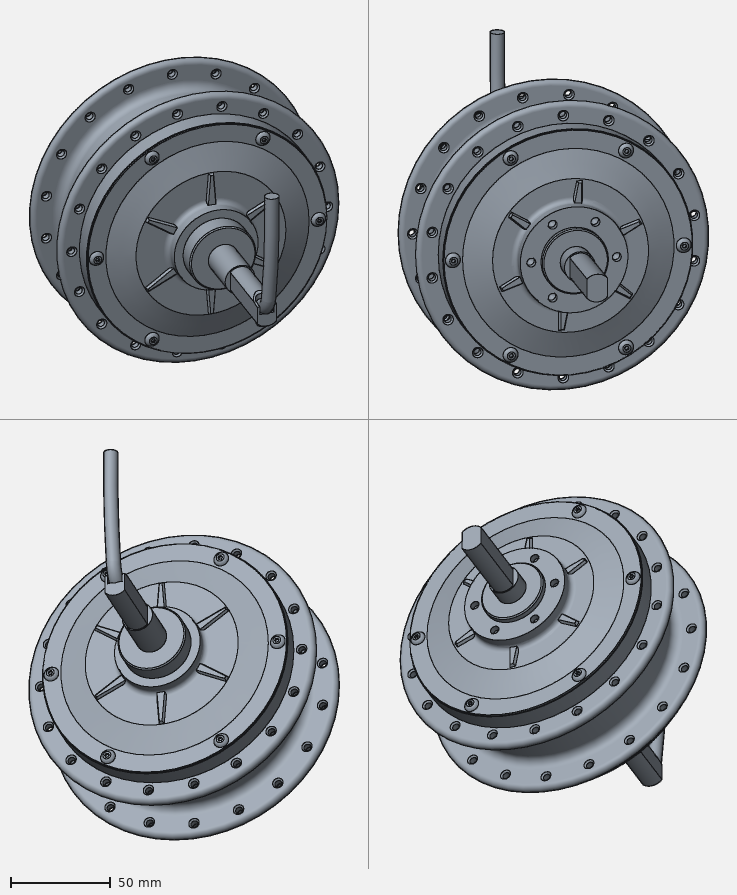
import cadquery as cq
import math


barrel_radius = 59.0
barrel_half_length = 12.0
flange_diameter = 150.5
flange_radius = flange_diameter / 2
flange_center = 19.5
flange_half_width = 2.7
rim_radius = 64.3
rim_face = 33.3
lip_radius = 63.9
lip_width = 1.1
cone_outer_radius = 54.4
cone_inner_radius = 40.0
cover_face = 38.3

hub_fillet = 2.7
left_hub_radius = 27.6
left_hub_end = 46.2
left_collar_radius = 17.0
left_collar_end = 49.5
right_hub_radius = 22.5
right_hub_end = 45.7
right_collar_radius = 17.7
right_collar_end = 55.7
collar_chamfer = 0.7

axle_left_end = -97.5
axle_right_end = 118.2
left_journal_end = -59.0
right_journal_end = 79.7
journal_radius = 8.0
axle_radius = 7.2
axle_half_flat = 5.2

overall_length = 226.5
cable_radius = 3.6
cable_start = 104.2
bend_start = 108.7
bend_radius = 12.0
bend_angle = math.radians(79)
cable_top = 69.8
slot_start = bend_start
slot_half_width = 3.8
relief_start = 106.7
relief_middle = 111.9
relief_middle_height = 5.5
relief_end_height = 4.3

spoke_hole_count = 18
spoke_circle_radius = 68.5
spoke_hole_radius = 1.8
spoke_countersink = 1.0
left_spoke_angle = 90.0
right_spoke_angle = left_spoke_angle + 180.0 / spoke_hole_count

screw_count = 6
screw_circle_radius = 59.3
screw_head_radius = 3.8
screw_head_height = 1.8
screw_seat_depth = 1.0
screw_top_radius = 2.0
screw_dome_radius = 2.7
socket_radius = 1.1
socket_depth = 1.1

hub_hole_count = 6
hub_hole_circle_radius = 22.0
hub_hole_radius = 2.3
hub_hole_depth = 3.5
drill_tip_depth = 1.4

rib_count = 6
rib_height = 1.5
rib_draft = 25
left_rib_tip_radius = 38.7
right_rib_tip_radius = 39.9
left_rib_straight_side = 6.1
left_rib_tip_side = 3.2
left_rib_root_side = 0.5
right_rib_root_half = 3.0
right_rib_tip_half = 1.4


def around_axle(count, radius, first_angle=0.0):
    """(y, z) of evenly spaced places on a circle about the axle."""
    places = []
    for index in range(count):
        turn = math.radians(first_angle + index * 360.0 / count)
        places.append((radius * math.cos(turn), radius * math.sin(turn)))
    return places


def rod(x_start, x_end, radius, y=0.0, z=0.0):
    """Cylinder parallel to X between two X positions."""
    return cq.Workplane("YZ", origin=(x_start, y, z)).circle(radius).extrude(x_end - x_start)


def hub_shell():
    """Barrel, rounded flanges, rims and conical covers, turned about X."""
    flange_inner = flange_center - flange_half_width
    flange_outer = flange_center + flange_half_width
    fillet = flange_inner - barrel_half_length
    edge_start = flange_radius - flange_half_width
    side = (
        cq.Workplane("XY")
        .moveTo(barrel_half_length, 0)
        .lineTo(barrel_half_length, barrel_radius)
        .radiusArc((flange_inner, barrel_radius + fillet), -fillet)
        .lineTo(flange_inner, edge_start)
        .radiusArc((flange_center, flange_radius), flange_half_width)
        .radiusArc((flange_outer, edge_start), flange_half_width)
        .lineTo(flange_outer, rim_radius)
        .lineTo(rim_face - lip_width, rim_radius)
        .lineTo(rim_face - lip_width, lip_radius)
        .lineTo(rim_face, lip_radius)
        .lineTo(rim_face, cone_outer_radius)
        .lineTo(cover_face, cone_inner_radius)
        .lineTo(cover_face, 0)
        .close()
        .revolve(360, (0, 0, 0), (1, 0, 0))
    )
    barrel = rod(-barrel_half_length, barrel_half_length, barrel_radius)
    return barrel.union(side).union(side.mirror("YZ"))


def cover_hub(side, hub_radius, hub_end, collar_radius, collar_end):
    """Hub with a root fillet and a chamfered collar; side is -1 or +1 along X."""
    hub = (
        cq.Workplane("XY")
        .lineTo(0, hub_radius + hub_fillet)
        .lineTo(side * cover_face, hub_radius + hub_fillet)
        .radiusArc((side * (cover_face + hub_fillet), hub_radius), -side * hub_fillet)
        .lineTo(side * hub_end, hub_radius)
        .lineTo(side * hub_end, 0)
        .close()
        .revolve(360, (0, 0, 0), (1, 0, 0))
    )
    collar = rod(side * hub_end, side * collar_end, collar_radius)
    collar = collar.faces(">X" if side > 0 else "<X").chamfer(collar_chamfer)
    return hub.union(collar)


def axle():
    """Stepped axle with two flats on each end."""
    journals = rod(left_journal_end, right_journal_end, journal_radius)
    flat_core = rod(axle_left_end, axle_right_end, axle_radius)
    flat_box = cq.Workplane("XY").box(
        2 * overall_length, 2 * axle_half_flat, 2 * axle_radius
    )
    return journals.union(flat_core.intersect(flat_box))


def rib(side, outline):
    """Drafted rib from a (y, z) outline pointing along +Z, standing on a cover."""
    sketch = cq.Workplane("YZ", origin=(side * cover_face, 0, 0)).polyline(outline).close()
    return sketch.extrude(side * rib_height, taper=rib_draft)


def ribs():
    """Skewed ribs on the -X cover and straight radial ribs on the +X cover."""
    left_outline = [
        (-left_rib_straight_side, left_hub_radius - hub_fillet),
        (-left_rib_straight_side, left_rib_tip_radius),
        (-left_rib_tip_side, left_rib_tip_radius),
        (-left_rib_root_side, left_hub_radius - hub_fillet),
    ]
    right_outline = [
        (-right_rib_root_half, right_hub_radius - hub_fillet),
        (-right_rib_tip_half, right_rib_tip_radius),
        (right_rib_tip_half, right_rib_tip_radius),
        (right_rib_root_half, right_hub_radius - hub_fillet),
    ]
    bodies = []
    for side, outline in ((-1, left_outline), (1, right_outline)):
        single = rib(side, outline)
        for index in range(rib_count):
            bodies.append(single.rotate((0, 0, 0), (1, 0, 0), index * 360.0 / rib_count))
    return bodies


def screw_head(side, y, z):
    """Rounded screw head with a hexagon socket, on a rim face."""
    top = side * (rim_face + screw_head_height)
    head = (
        cq.Workplane("XY", origin=(0, y, z))
        .moveTo(side * (rim_face - screw_seat_depth), 0)
        .lineTo(side * (rim_face - screw_seat_depth), screw_head_radius)
        .lineTo(side * rim_face, screw_head_radius)
        .radiusArc((top, screw_top_radius), side * screw_dome_radius)
        .lineTo(top, 0)
        .close()
        .revolve(360, (0, 0, 0), (1, 0, 0))
    )
    socket = (
        cq.Workplane("YZ", origin=(top, y, z))
        .polygon(6, 2 * socket_radius)
        .extrude(-side * socket_depth)
    )
    return head.cut(socket)


def spoke_hole(side, y, z):
    """Hole through one flange, countersunk on both faces."""
    inner = side * (flange_center - flange_half_width)
    outer = side * (flange_center + flange_half_width)
    rim = spoke_hole_radius + spoke_countersink
    sink = side * spoke_countersink
    return (
        cq.Workplane("XY", origin=(0, y, z))
        .moveTo(inner, 0)
        .lineTo(inner, rim)
        .lineTo(inner + sink, spoke_hole_radius)
        .lineTo(outer - sink, spoke_hole_radius)
        .lineTo(outer, rim)
        .lineTo(outer, 0)
        .close()
        .revolve(360, (0, 0, 0), (1, 0, 0))
    )


def hub_hole(y, z):
    """Blind drilled hole with a conical bottom, entering the -X hub face."""
    bottom = -left_hub_end + hub_hole_depth
    tip = cq.Workplane(
        cq.Solid.makeCone(
            hub_hole_radius, 0, drill_tip_depth, cq.Vector(bottom, y, z), cq.Vector(1, 0, 0)
        )
    )
    return rod(-left_hub_end, bottom, hub_hole_radius, y, z).union(tip)


def cable():
    """Cable that leaves the axle along its axis and bends upward."""
    joint = (
        bend_start + bend_radius * math.sin(bend_angle),
        bend_radius * (1 - math.cos(bend_angle)),
    )
    bend_middle = (
        bend_start + bend_radius * math.sin(bend_angle / 2),
        bend_radius * (1 - math.cos(bend_angle / 2)),
    )
    widest_x = axle_left_end + overall_length - cable_radius
    rest_angle = math.pi / 2 - bend_angle
    sweep_radius = (widest_x - joint[0]) / (1 - math.cos(rest_angle))
    sweep_center = (widest_x - sweep_radius, joint[1] + sweep_radius * math.sin(rest_angle))
    sweep_side = (widest_x, sweep_center[1])
    top_angle = math.asin((cable_top - sweep_center[1]) / sweep_radius)
    sweep_end = (sweep_center[0] + sweep_radius * math.cos(top_angle), cable_top)
    path = (
        cq.Workplane("XZ")
        .moveTo(cable_start, 0)
        .lineTo(bend_start, 0)
        .threePointArc(bend_middle, joint)
        .threePointArc(sweep_side, sweep_end)
    )
    return cq.Workplane("YZ", origin=(cable_start, 0, 0)).circle(cable_radius).sweep(path)


def cable_relief():
    """Dished ramp on top of the axle end and the slot below it, open to the end face."""
    ramp = (
        cq.Workplane("XZ")
        .moveTo(relief_start, axle_radius)
        .threePointArc(
            (relief_middle, relief_middle_height), (axle_right_end, relief_end_height)
        )
        .lineTo(axle_right_end, axle_radius)
        .close()
        .extrude(axle_radius, both=True)
    )
    round_center = slot_start + slot_half_width
    slot_end = cq.Workplane("XY").center(round_center, 0).circle(slot_half_width).extrude(axle_radius)
    slot = (
        cq.Workplane("XY")
        .moveTo(round_center, -slot_half_width)
        .rect(axle_right_end - round_center, 2 * slot_half_width, centered=False)
        .extrude(axle_radius)
    )
    return ramp.union(slot_end).union(slot)


def motor(cable_body):
    """Hub, covers, screws and axle as one body, with a matching hole for the cable."""
    body = hub_shell()
    body = body.union(
        cover_hub(-1, left_hub_radius, left_hub_end, left_collar_radius, left_collar_end)
    )
    body = body.union(
        cover_hub(1, right_hub_radius, right_hub_end, right_collar_radius, right_collar_end)
    )
    body = body.union(axle())
    added = ribs()
    for y, z in around_axle(screw_count, screw_circle_radius):
        added += [screw_head(-1, y, z), screw_head(1, y, z)]
    removed = [cable_relief(), cable_body]
    for y, z in around_axle(spoke_hole_count, spoke_circle_radius, left_spoke_angle):
        removed.append(spoke_hole(-1, y, z))
    for y, z in around_axle(spoke_hole_count, spoke_circle_radius, right_spoke_angle):
        removed.append(spoke_hole(1, y, z))
    for y, z in around_axle(hub_hole_count, hub_hole_circle_radius):
        removed.append(hub_hole(y, z))
    solid = body.val().fuse(*[part.val() for part in added])
    return cq.Workplane(solid.cut(*[part.val() for part in removed])).solids()


cable_body = cable()
motor_body = motor(cable_body)
result = cq.Compound.makeCompound([motor_body.val(), cable_body.val()])